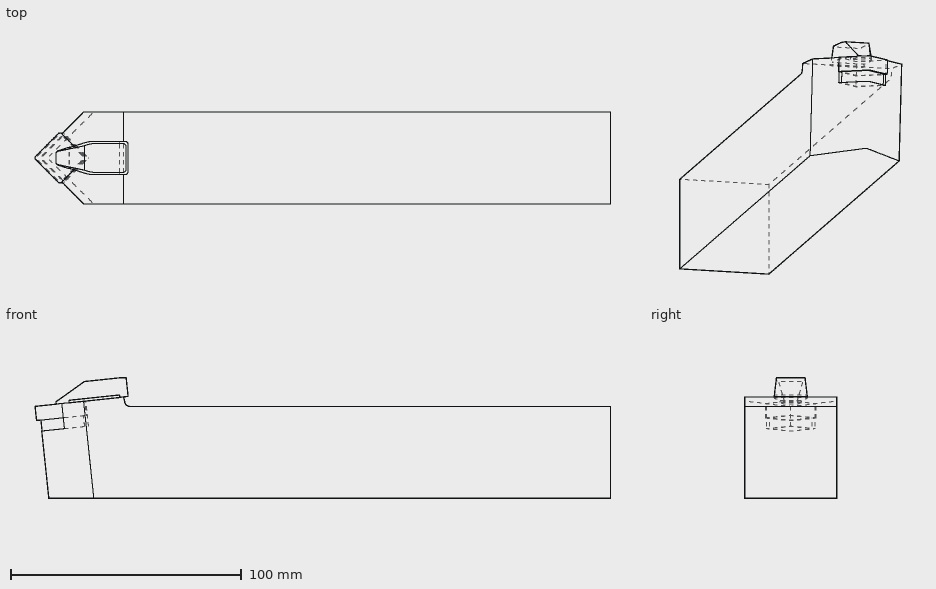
import cadquery as cq
import math

LENGTH = 249.7
WIDTH = 40.0
SHANK_HEIGHT = 40.0
OVERALL_HEIGHT = 52.5

TILT = math.radians(6.0)
SLOPE = math.tan(TILT)
PLATEAU_END = 38.5
STEP_DROP = 1.7
STEP_RUN = 0.5
STEP_FOOT = 41.2
NOSE_SETBACK = 1.2
NOSE_RADIUS = 1.2

INSERT_SIDE = 16.0
INSERT_THICKNESS = 6.2
INSERT_RADIUS = 1.0
SHIM_SIDE = 13.7
SHIM_THICKNESS = 4.7
SHIM_RADIUS = 1.0
SHIM_RECESS = 0.2

CLAMP_FRONT = 9.2
CLAMP_BACK = 40.7
CLAMP_HEIGHT = 8.5
CLAMP_NOSE_HEIGHT = 1.0
CLAMP_BREAK = 22.5
CLAMP_GAP = 1.0
GAP_START = 15.0
GAP_END = 37.0
BASE_HALF_WIDTH = 7.2
TOP_HALF_WIDTH = 6.2
BASE_BEND = 23.2
TOP_BEND = 25.5
NOSE_HALF_WIDTH = 5.7 / 2
CLAMP_NOSE_RADIUS = 1.2
CLAMP_BACK_RADIUS = 1.5
BEND_RADIUS = 8.5

CLEARANCE = 12.5

insert_reach = INSERT_SIDE / math.sqrt(2)
shim_reach = SHIM_SIDE / math.sqrt(2)
insert_center = insert_reach - INSERT_RADIUS * (math.sqrt(2) - 1)
shim_center = NOSE_SETBACK + SHIM_RECESS + shim_reach
pocket_depth = INSERT_THICKNESS + SHIM_THICKNESS


def tilted(plane_normal="W"):
    """Workplane in the tilted head frame, normal to its top (W) or in its side plane (Y)."""
    along = cq.Vector(math.cos(TILT), 0, math.sin(TILT))
    up = cq.Vector(-math.sin(TILT), 0, math.cos(TILT))
    normal = up if plane_normal == "W" else cq.Vector(0, -1, 0)
    return cq.Workplane(cq.Plane(origin=(0, 0, SHANK_HEIGHT), xDir=along, normal=normal))


def diamond(center, reach, top, thickness):
    """Square plate with its corners on the U axis, top face at the given W."""
    corners = [(center - reach, 0), (center, -reach), (center + reach, 0), (center, reach)]
    return tilted().workplane(offset=top - thickness).polyline(corners).close().extrude(thickness)


def round_corners(plate, radius):
    """Round the four edges across the thickness of a tilted plate."""
    across = cq.selectors.ParallelDirSelector(tilted().plane.zDir)
    return plate.edges(across).fillet(radius)


def make_head_and_shank():
    """Bar with raised sloping head, pointed front and insert pocket."""
    step_base = SHANK_HEIGHT + PLATEAU_END * SLOPE - STEP_DROP
    side = (
        cq.Workplane("XZ")
        .moveTo(-CLEARANCE, 0)
        .lineTo(LENGTH, 0)
        .lineTo(LENGTH, SHANK_HEIGHT)
        .lineTo(STEP_FOOT, SHANK_HEIGHT)
        .tangentArcPoint((PLATEAU_END + STEP_RUN, step_base), relative=False)
        .lineTo(PLATEAU_END, SHANK_HEIGHT + PLATEAU_END * SLOPE)
        .lineTo(-CLEARANCE, SHANK_HEIGHT - CLEARANCE * SLOPE)
        .close()
        .extrude(WIDTH / 2, both=True)
    )
    reach = LENGTH + CLEARANCE
    point = (
        tilted()
        .workplane(offset=-2 * LENGTH)
        .polyline([(NOSE_SETBACK, 0), (NOSE_SETBACK + reach, -reach), (NOSE_SETBACK + reach, reach)])
        .close()
        .extrude(4 * LENGTH)
    )
    nose_edge = cq.selectors.NearestToPointSelector(
        (NOSE_SETBACK + SHANK_HEIGHT / 2 * SLOPE, 0, SHANK_HEIGHT / 2)
    )
    body = side.intersect(point).edges(nose_edge).fillet(NOSE_RADIUS)
    return body.cut(diamond(insert_center, insert_reach, 0, pocket_depth))


def make_shim():
    """Seat plate between pocket floor and insert."""
    plate = diamond(shim_center, shim_reach, -INSERT_THICKNESS, SHIM_THICKNESS)
    return round_corners(plate, SHIM_RADIUS)


def clamp_section(bend, half_width, nose_half_width, height):
    """Plan outline of the clamp at one height: tapering front, parallel back."""
    points = [
        (CLAMP_FRONT, -nose_half_width),
        (bend, -half_width),
        (CLAMP_BACK, -half_width),
        (CLAMP_BACK, half_width),
        (bend, half_width),
        (CLAMP_FRONT, nose_half_width),
    ]
    plane = tilted().workplane(offset=height).plane
    return cq.Wire.makePolygon([plane.toWorldCoords(p) for p in points], close=True)


def make_clamp():
    """Drafted clamp with a sloping front, bridging over a gap to its back foot."""
    taper = (BASE_HALF_WIDTH - NOSE_HALF_WIDTH) / (BASE_BEND - CLAMP_FRONT)
    top_nose = TOP_HALF_WIDTH - taper * (TOP_BEND - CLAMP_FRONT)
    base = clamp_section(BASE_BEND, BASE_HALF_WIDTH, NOSE_HALF_WIDTH, 0)
    top = clamp_section(TOP_BEND, TOP_HALF_WIDTH, top_nose, CLAMP_HEIGHT)
    block = cq.Workplane(cq.Solid.makeLoft([base, top], True))

    middle = CLAMP_HEIGHT / 2
    edge_rounds = [
        (CLAMP_FRONT, (NOSE_HALF_WIDTH + top_nose) / 2, CLAMP_NOSE_RADIUS),
        ((BASE_BEND + TOP_BEND) / 2, (BASE_HALF_WIDTH + TOP_HALF_WIDTH) / 2, BEND_RADIUS),
        (CLAMP_BACK, (BASE_HALF_WIDTH + TOP_HALF_WIDTH) / 2, CLAMP_BACK_RADIUS),
    ]
    plane = tilted().plane
    for u, v, radius in edge_rounds:
        for side in (-1, 1):
            spot = plane.toWorldCoords((u, side * v, middle)).toTuple()
            block = block.edges(cq.selectors.NearestToPointSelector(spot)).fillet(radius)

    profile = (
        tilted("Y")
        .polyline([
            (CLAMP_FRONT, 0),
            (GAP_START, 0),
            (GAP_START, CLAMP_GAP),
            (GAP_END, CLAMP_GAP),
            (GAP_END, 0),
            (CLAMP_BACK, 0),
            (CLAMP_BACK, CLAMP_HEIGHT),
            (CLAMP_BREAK, CLAMP_HEIGHT),
            (CLAMP_FRONT, CLAMP_NOSE_HEIGHT),
        ])
        .close()
        .extrude(WIDTH / 2, both=True)
    )
    level = cq.Workplane("XY").box(2 * LENGTH, WIDTH, OVERALL_HEIGHT, centered=(True, True, False))
    return block.intersect(profile).intersect(level)


holder = make_head_and_shank().union(make_shim()).union(make_clamp())

insert = round_corners(diamond(insert_center, insert_reach, 0, INSERT_THICKNESS), INSERT_RADIUS)

result = cq.Compound.makeCompound([holder.val(), insert.val()])